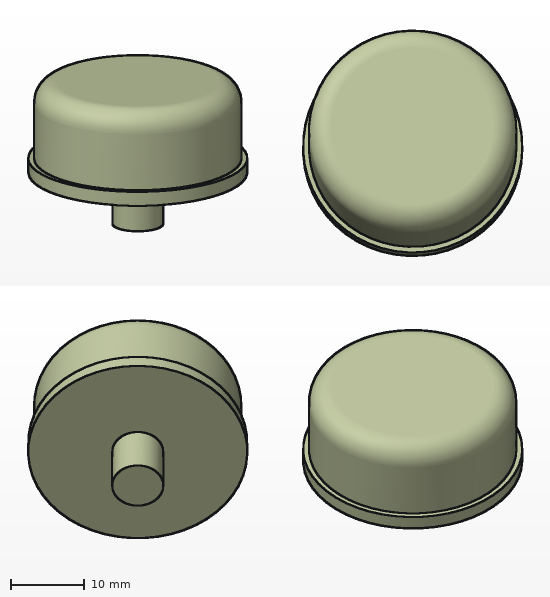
import cadquery as cq

flange_diameter = 30.0
flange_thickness = 2.0
cap_diameter = 28.4
cap_edge_radius = 3.0
stem_diameter = 7.0
stem_length = 7.4
total_height = 20.45

cap_height = total_height - stem_length - flange_thickness


def disc(diameter, height, base_z):
    """Vertical cylinder centred on the Z axis, standing on base_z."""
    return cq.Workplane("XY").workplane(offset=base_z).circle(diameter / 2).extrude(height)


flange = disc(flange_diameter, flange_thickness, 0)

cap = disc(cap_diameter, cap_height, flange_thickness)
cap = cap.faces(">Z").edges().fillet(cap_edge_radius)

stem = disc(stem_diameter, stem_length, -stem_length)

result = flange.union(cap).union(stem)